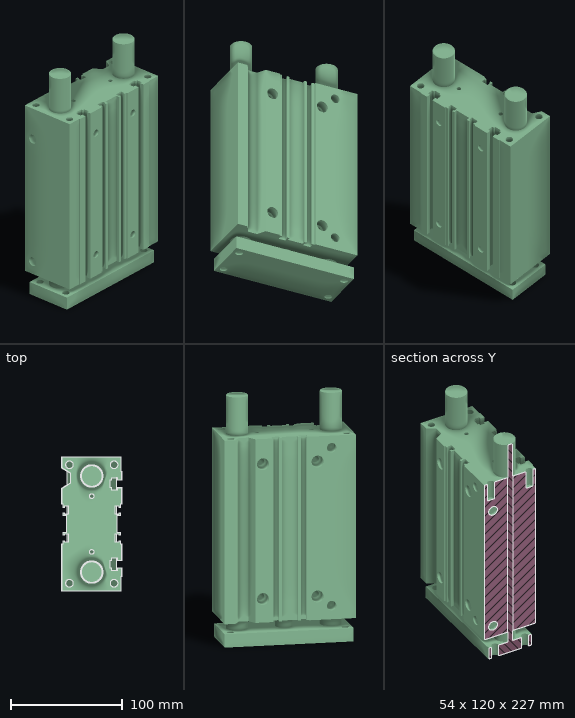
import cadquery as cq

HOUSING_WIDTH = 54.0
HOUSING_LENGTH = 120.0
HOUSING_BOTTOM = 22.5
HOUSING_TOP = 191.1
HOUSING_HEIGHT = HOUSING_TOP - HOUSING_BOTTOM
HALF_WIDTH = HOUSING_WIDTH / 2
PAD_HEIGHT = 0.7
PAD_LENGTH = 94.0

DOVETAIL_Y = 41.0
DOVETAIL_MOUTH = 18.5
DOVETAIL_FLOOR = 8.9
DOVETAIL_DEPTH = 8.0

T_SLOT_SPACING = 72.0
T_NECK_WIDTH = 6.5
T_HEAD_WIDTH = 11.0
T_HEAD_OUTER_X = 23.0
T_HEAD_INNER_X = 17.7
T_FLOOR_X = 16.1

RAIL_FACE_X = 25.9
RAIL_LENGTH = 35.6
RAIL_RECESS_X = 22.7
RAIL_RECESS_LENGTH = 15.0
SENSOR_SLOT_SPACING = 25.0
SENSOR_NECK_WIDTH = 5.0
SENSOR_HEAD_WIDTH = 7.0
SENSOR_LIP = 1.5
SENSOR_FLOOR_X = 20.7

GUIDE_DIAMETER = 20.0
GUIDE_SPACING = 86.0
GUIDE_TOP = 227.0
GUIDE_CHAMFER = 0.7
PISTON_DIAMETER = 16.0
PISTON_DEPTH = 22.7
PLATE_WIDTH = 44.5
PLATE_LENGTH = 118.0
PLATE_THICKNESS = 12.3
PLATE_HOLE_DIAMETER = 6.8
PLATE_HOLE_X = 15.5
PLATE_HOLE_Y = 52.7

CORNER_HOLE_DIAMETER = 6.8
CORNER_HOLE_SPACING_X = 40.0
CORNER_HOLE_SPACING_Y = 106.0
CORNER_HOLE_DEPTH = 18.2
DOWEL_DIAMETER = 4.0
DOWEL_SPACING = 50.0
DOWEL_DEPTH = 9.0
MOUNT_SPACING_Y = 50.0
MOUNT_LEVELS = (44.0, 168.0)
MOUNT_DIAMETER = 6.5
MOUNT_BORE_DIAMETER = 11.0
MOUNT_BORE_DEPTH = 9.0
PORT_DIAMETER = 8.6
PORT_DEPTH = 9.0
SIDE_PORT_Y = -38.0
SIDE_PORT_LEVELS = (35.0, 180.0)
END_PORT_X = -17.7
END_PORT_LEVELS = (35.0, 160.0)


def housing_bar(x_a, x_b, y_center, length):
    """Full-height bar between two X positions, centred on y_center."""
    return (
        cq.Workplane("XY", origin=((x_a + x_b) / 2, y_center, HOUSING_BOTTOM))
        .rect(abs(x_b - x_a), length)
        .extrude(HOUSING_HEIGHT)
    )


def housing_profile():
    block = housing_bar(-HALF_WIDTH, HALF_WIDTH - PAD_HEIGHT, 0, HOUSING_LENGTH)
    return block.union(housing_bar(0, HALF_WIDTH, 0, PAD_LENGTH))


def dovetail_groove():
    floor_x = -HALF_WIDTH + DOVETAIL_DEPTH
    return (
        cq.Workplane("XY", origin=(0, DOVETAIL_Y, HOUSING_BOTTOM))
        .moveTo(-HALF_WIDTH, DOVETAIL_MOUTH / 2)
        .lineTo(floor_x, DOVETAIL_FLOOR / 2)
        .lineTo(floor_x, -DOVETAIL_FLOOR / 2)
        .lineTo(-HALF_WIDTH, -DOVETAIL_MOUTH / 2)
        .close()
        .extrude(HOUSING_HEIGHT)
    )


def t_slot(y):
    neck = housing_bar(T_FLOOR_X, HALF_WIDTH, y, T_NECK_WIDTH)
    head = housing_bar(T_HEAD_INNER_X, T_HEAD_OUTER_X, y, T_HEAD_WIDTH)
    return neck.union(head)


def sensor_rails(side):
    """Material removed to form the sensor rails; side is -1 or +1 along X."""
    cut = housing_bar(side * RAIL_FACE_X, side * HALF_WIDTH, 0, RAIL_LENGTH)
    cut = cut.union(housing_bar(side * RAIL_RECESS_X, side * HALF_WIDTH, 0, RAIL_RECESS_LENGTH))
    head_outer_x = RAIL_FACE_X - SENSOR_LIP
    for y in (-SENSOR_SLOT_SPACING / 2, SENSOR_SLOT_SPACING / 2):
        neck = housing_bar(side * SENSOR_FLOOR_X, side * RAIL_FACE_X, y, SENSOR_NECK_WIDTH)
        head = housing_bar(side * SENSOR_FLOOR_X, side * head_outer_x, y, SENSOR_HEAD_WIDTH)
        cut = cut.union(neck).union(head)
    return cut


def rod(diameter, y, bottom, top):
    return cq.Workplane("XY", origin=(0, y, bottom)).circle(diameter / 2).extrude(top - bottom)


def guide_rods():
    centers = (-GUIDE_SPACING / 2, GUIDE_SPACING / 2)
    return [rod(GUIDE_DIAMETER, y, PLATE_THICKNESS, GUIDE_TOP) for y in centers]


def piston_rod():
    return rod(PISTON_DIAMETER, 0, PLATE_THICKNESS, HOUSING_BOTTOM + PISTON_DEPTH)


def x_holes(diameter, depth, points):
    """Holes drilled in from the -X side at (y, z) points."""
    return (
        cq.Workplane("YZ", origin=(-HALF_WIDTH, 0, 0))
        .pushPoints(points)
        .circle(diameter / 2)
        .extrude(depth)
    )


def mounting_holes():
    points = [(y, z) for y in (-MOUNT_SPACING_Y / 2, MOUNT_SPACING_Y / 2) for z in MOUNT_LEVELS]
    through = x_holes(MOUNT_DIAMETER, HOUSING_WIDTH, points)
    return through.union(x_holes(MOUNT_BORE_DIAMETER, MOUNT_BORE_DEPTH, points))


def side_ports():
    return x_holes(PORT_DIAMETER, PORT_DEPTH, [(SIDE_PORT_Y, z) for z in SIDE_PORT_LEVELS])


def end_ports():
    return (
        cq.Workplane("XZ", origin=(0, -HOUSING_LENGTH / 2, 0))
        .pushPoints([(END_PORT_X, z) for z in END_PORT_LEVELS])
        .circle(PORT_DIAMETER / 2)
        .extrude(-PORT_DEPTH)
    )


def top_holes():
    top = cq.Workplane("XY", origin=(0, 0, HOUSING_TOP))
    corners = (
        top.rect(CORNER_HOLE_SPACING_X, CORNER_HOLE_SPACING_Y, forConstruction=True)
        .vertices()
        .circle(CORNER_HOLE_DIAMETER / 2)
        .extrude(-CORNER_HOLE_DEPTH)
    )
    dowels = (
        top.pushPoints([(0, -DOWEL_SPACING / 2), (0, DOWEL_SPACING / 2)])
        .circle(DOWEL_DIAMETER / 2)
        .extrude(-DOWEL_DEPTH)
    )
    return corners.union(dowels)


def make_housing():
    """Extruded cylinder body with bores that the guide rods and piston rod fill."""
    body = housing_profile().cut(dovetail_groove())
    for y in (-T_SLOT_SPACING / 2, T_SLOT_SPACING / 2):
        body = body.cut(t_slot(y))
    for side in (-1, 1):
        body = body.cut(sensor_rails(side))
    for holes in (mounting_holes(), side_ports(), end_ports(), top_holes()):
        body = body.cut(holes)
    for guide in guide_rods():
        body = body.cut(guide)
    return body.cut(piston_rod())


def make_slide():
    """End plate with the two guide rods and the piston rod."""
    plate = cq.Workplane("XY").rect(PLATE_WIDTH, PLATE_LENGTH).extrude(PLATE_THICKNESS)
    plate_holes = (
        cq.Workplane("XY")
        .rect(2 * PLATE_HOLE_X, 2 * PLATE_HOLE_Y, forConstruction=True)
        .vertices()
        .circle(PLATE_HOLE_DIAMETER / 2)
        .extrude(PLATE_THICKNESS)
    )
    slide = plate.cut(plate_holes).union(piston_rod())
    for guide in guide_rods():
        slide = slide.union(guide.faces(">Z").chamfer(GUIDE_CHAMFER))
    return slide


housing = make_housing()
slide = make_slide()
result = cq.Compound.makeCompound([housing.val(), slide.val()])